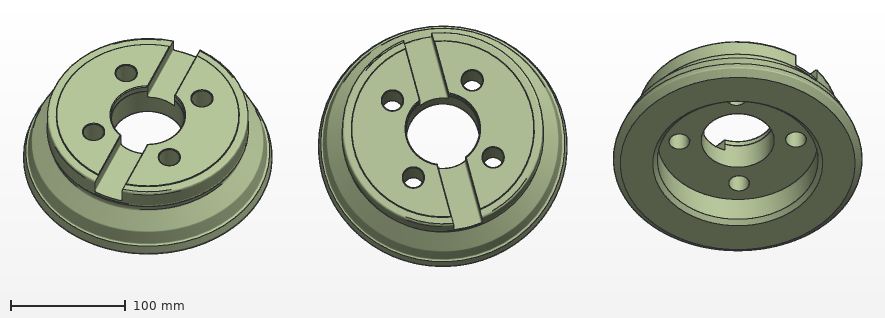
import cadquery as cq
import math

height = 63.54
outer_radius = 216.69 / 2

foot_radius = 102.3
rim_bevel_top = 4.9
rim_band_top = 6.5
rim_top_radius = 212.6 / 2
rim_top = 13.3
rim_round = 0.5

skirt_bottom_radius = 104.4
skirt_top_radius = 101.0
skirt_top = 26.4
skirt_root_fillet = 1.2
skirt_shoulder_fillet = 2.0

neck_radius = 173 / 2
neck_bottom = 38.7
neck_top = 45.3
neck_top_fillet = 1.2
neck_bottom_fillet = 1.6

bead_height = 1.3
bead_projection = 0.4

cylinder_radius = 175 / 2
cylinder_edge_fillet = 2.0
seat_radius = 79.8
seat_height = 0.6
seat_chamfer = 0.5
ledge_height = height - seat_height

bore_radius = 63.5 / 2
lead_in_radius = 32.05
lead_in_depth = 6.5
lead_in_chamfer = 0.9
recess_radius = 140 / 2
recess_depth = 29.4
recess_mouth_chamfer = 4.0

hole_diameter = 18
hole_chamfer = 0.7
hole_circle_radius = 50.8
hole_count = 4
first_hole_angle = 45

slot_width = 25.4
slot_depth = 14.3
slot_corner_fillet = 1.4
slot_edge_chamfer = 0.5


def fillet_circle(body, radius, level, size):
    """Fillet the circular edge of the given radius lying at the given Z level."""
    tolerance = 0.01
    edges = [
        edge
        for edge in body.edges("%CIRCLE").vals()
        if abs(edge.radius() - radius) < tolerance and abs(edge.Center().z - level) < tolerance
    ]
    return body.newObject(edges).fillet(size)


def turned_body():
    """Solid of revolution carrying the outer profile, the seat and the underside recess."""
    profile = [
        (0, recess_depth),
        (recess_radius, recess_depth),
        (recess_radius, recess_mouth_chamfer),
        (recess_radius + recess_mouth_chamfer, 0),
        (foot_radius, 0),
        (outer_radius, rim_bevel_top),
        (outer_radius, rim_band_top),
        (rim_top_radius, rim_top),
        (skirt_bottom_radius, rim_top),
        (skirt_top_radius, skirt_top),
        (neck_radius, neck_bottom),
        (neck_radius, neck_top),
        (cylinder_radius + bead_projection, neck_top),
        (cylinder_radius, neck_top + bead_height),
        (cylinder_radius, ledge_height),
        (seat_radius, ledge_height),
        (seat_radius - seat_chamfer, height),
        (0, height),
    ]
    body = cq.Workplane("XZ").polyline(profile).close().revolve(360, (0, 0), (0, 1))
    rounded_edges = [
        (outer_radius, rim_bevel_top, rim_round),
        (skirt_bottom_radius, rim_top, skirt_root_fillet),
        (skirt_top_radius, skirt_top, skirt_shoulder_fillet),
        (neck_radius, neck_bottom, neck_bottom_fillet),
        (neck_radius, neck_top, neck_top_fillet),
        (cylinder_radius, ledge_height, cylinder_edge_fillet),
    ]
    for radius, level, size in rounded_edges:
        body = fillet_circle(body, radius, level, size)
    return body


def chamfered_hole(radius, depth, chamfer):
    """Cutter for a hole of the given depth from the seat, with a chamfered mouth."""
    shaft = cq.Workplane("XY", origin=(0, 0, height)).circle(radius).extrude(-depth)
    mouth = cq.Solid.makeCone(radius, radius + chamfer, chamfer, pnt=cq.Vector(0, 0, height - chamfer))
    return shaft.union(cq.Workplane(mouth))


def key_slot():
    """Cutter for the slot, with rounded floor corners and bevelled top edges."""
    half_width = slot_width / 2
    mouth_half_width = half_width + slot_edge_chamfer
    floor = height - slot_depth
    length = 2 * outer_radius
    profile = [
        (-half_width, floor),
        (half_width, floor),
        (half_width, height - slot_edge_chamfer),
        (mouth_half_width, height),
        (-mouth_half_width, height),
        (-half_width, height - slot_edge_chamfer),
    ]
    cutter = cq.Workplane("XZ").polyline(profile).close().extrude(length / 2, both=True)
    return cutter.edges("|Y and <Z").fillet(slot_corner_fillet)


result = turned_body()
result = result.cut(cq.Workplane("XY").circle(bore_radius).extrude(height))
result = result.cut(chamfered_hole(lead_in_radius, lead_in_depth, lead_in_chamfer))
bolt_hole = chamfered_hole(hole_diameter / 2, height, hole_chamfer)
for index in range(hole_count):
    angle = math.radians(first_hole_angle + index * 360 / hole_count)
    position = (hole_circle_radius * math.cos(angle), hole_circle_radius * math.sin(angle), 0)
    result = result.cut(bolt_hole.translate(position))
result = result.cut(key_slot())